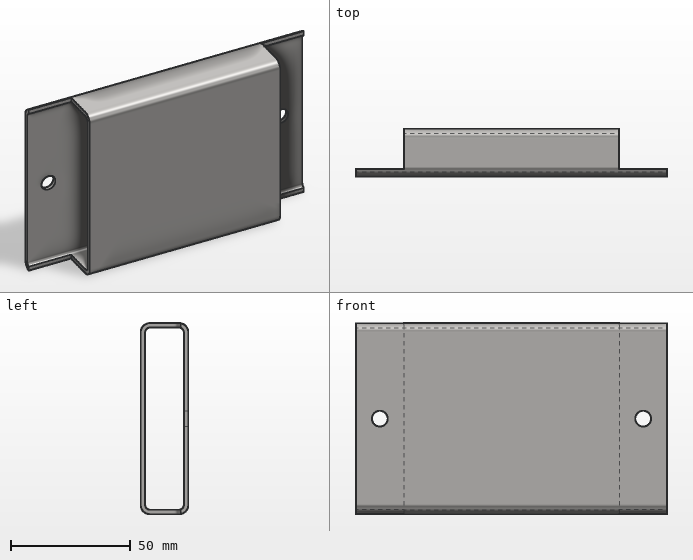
import cadquery as cq

length = 130.0
depth = 20.0
height = 80.0
wall = 2.0
outer_radius = 4.0
inner_radius = outer_radius - wall

flange_length = 20.0
flange_depth = 3.2

hole_diameter = 6.5
hole_edge_distance = 10.0


def rounded_bar(bar_depth, bar_height, radius):
    """Solid bar along X, centred on the origin, with rounded long edges."""
    return cq.Workplane("XY").box(length, bar_depth, bar_height).edges("|X").fillet(radius)


def end_cutout(side):
    """Block that removes the rear of the tube at one end (side is -1 or 1)."""
    cut_depth = depth - flange_depth
    return (
        cq.Workplane("XY")
        .box(flange_length, cut_depth, height)
        .translate((side * (length - flange_length) / 2, flange_depth / 2, 0))
    )


def mounting_hole(side):
    """Cylinder along Y that pierces the front wall at one end."""
    return (
        cq.Workplane("XZ")
        .center(side * (length / 2 - hole_edge_distance), 0)
        .circle(hole_diameter / 2)
        .extrude(depth / 2)
    )


tube = rounded_bar(depth, height, outer_radius).cut(
    rounded_bar(depth - 2 * wall, height - 2 * wall, inner_radius)
)

for end in (-1, 1):
    tube = tube.cut(end_cutout(end)).cut(mounting_hole(end))

result = tube